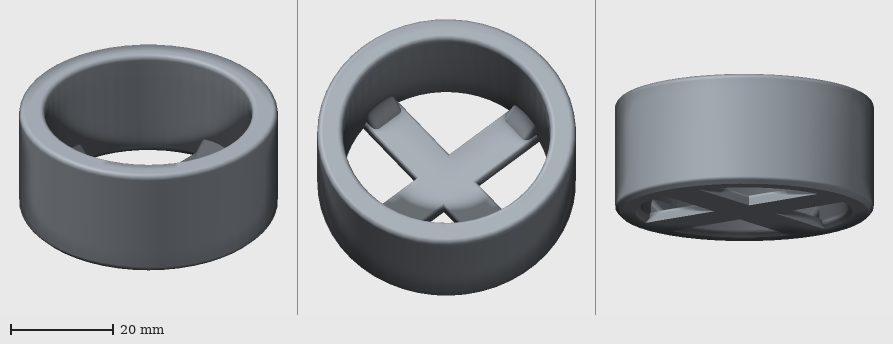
import cadquery as cq
import math

outer_radius = 25.25
inner_radius = 20.25
height = 22.0
rim_round = 1.0
foot_chamfer = 0.7
foot_blend = 0.8

arm_width = 8.5
arm_thickness = 2.1
arm_round = 0.65

gusset_width = arm_width - 2 * arm_round
gusset_length = 3.0
gusset_round = 1.0
wall_overlap = 1.0


def make_ring():
    """Revolve the ring section: round upper rims and blended 45 degree chamfers at the foot."""
    rim_inset = rim_round * (1 - math.sqrt(0.5))
    blend_inset = foot_blend * (1 - math.sqrt(0.5))
    blend_top = foot_chamfer + foot_blend * math.sqrt(0.5)
    blend_mid_inset = foot_blend * (1 - math.cos(math.pi / 8))
    blend_mid_z = blend_top - foot_blend * math.sin(math.pi / 8)
    foot_inset = blend_inset + foot_chamfer
    section = (
        cq.Workplane("XZ")
        .moveTo(inner_radius + foot_inset, 0)
        .lineTo(outer_radius - foot_inset, 0)
        .lineTo(outer_radius - blend_inset, foot_chamfer)
        .threePointArc((outer_radius - blend_mid_inset, blend_mid_z), (outer_radius, blend_top))
        .lineTo(outer_radius, height - rim_round)
        .threePointArc((outer_radius - rim_inset, height - rim_inset), (outer_radius - rim_round, height))
        .lineTo(inner_radius + rim_round, height)
        .threePointArc((inner_radius + rim_inset, height - rim_inset), (inner_radius, height - rim_round))
        .lineTo(inner_radius, blend_top)
        .threePointArc((inner_radius + blend_mid_inset, blend_mid_z), (inner_radius + blend_inset, foot_chamfer))
        .close()
    )
    return section.revolve(360, (0, 0, 0), (0, 1, 0))


def make_cross():
    """Two crossing arms with rounded upper edges."""
    arm_length = 2 * (inner_radius + wall_overlap)
    centered = (True, True, False)
    arm_x = cq.Workplane("XY").box(arm_length, arm_width, arm_thickness, centered=centered)
    arm_x = arm_x.faces(">Z").edges("|X").fillet(arm_round)
    arm_y = arm_x.rotate((0, 0, 0), (0, 0, 1), 90)
    bore_plug = cq.Workplane("XY").circle(inner_radius + wall_overlap).extrude(arm_thickness)
    return arm_x.union(arm_y).intersect(bore_plug)


def make_gusset():
    """A 45 degree wedge on the +X arm, with rounded sloping edges."""
    reach = gusset_length + wall_overlap
    start = inner_radius - gusset_length
    wedge = (
        cq.Workplane("XZ")
        .moveTo(start, arm_thickness)
        .lineTo(start + reach, arm_thickness)
        .lineTo(start + reach, arm_thickness + reach)
        .close()
        .extrude(gusset_width / 2, both=True)
    )
    slope = wedge.faces(cq.selectors.DirectionMinMaxSelector(cq.Vector(-1, 0, 1)))
    return slope.edges("not |Y").fillet(gusset_round)


result = make_ring().union(make_cross())
gusset = make_gusset()
for quarter in range(4):
    result = result.union(gusset.rotate((0, 0, 0), (0, 0, 1), 90 * quarter))